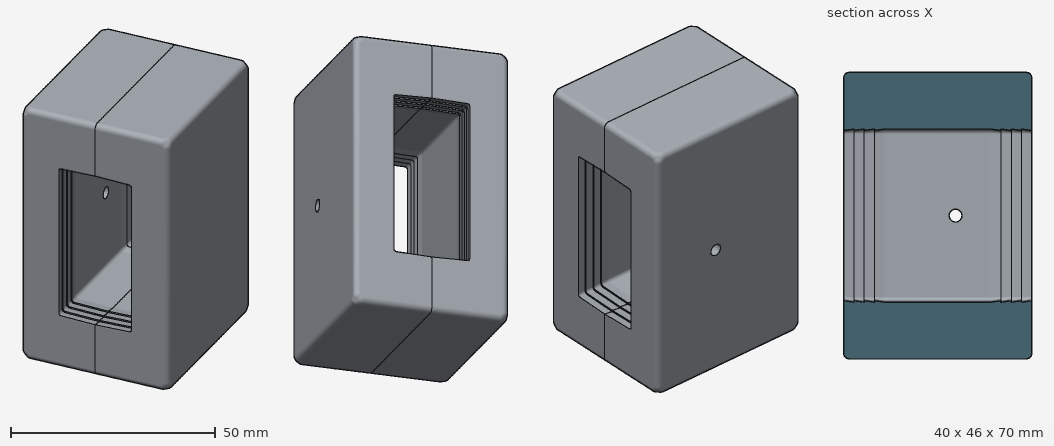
import cadquery as cq
import math

WIDTH = 40.0
DEPTH = 46.0
HEIGHT = 70.0
EDGE_RADIUS = 1.5
CORNER_CUT = 2.6

OPENING_WIDTH = 20.3
OPENING_SIDE_HEIGHT = 41.65
OPENING_CROWN = 0.3
OPENING_CORNER_RADIUS = 1.0

BARB_COUNT = 4
BARB_PITCH = 2.5
BARB_HEIGHT = 0.35
LEAD_IN = 0.1

HOLE_DIAMETER = 3.1
HOLE_Y = 4.35
HOLE_Z = 0.0


def corner_cutter(corner):
    """Slab outside the plane that cuts one corner of the block at CORNER_CUT along each edge."""
    cut_centre = cq.Vector(*(math.copysign(abs(c) - CORNER_CUT / 3, c) for c in corner))
    outwards = cq.Vector(*(math.copysign(1, c) for c in corner))
    slab_side = 3 * CORNER_CUT
    cut_plane = cq.Plane(origin=cut_centre, normal=outwards)
    return cq.Workplane(cut_plane).rect(slab_side, slab_side).extrude(CORNER_CUT)


def rounded_block():
    """Outer block with flattened corners and every edge rounded."""
    block = cq.Workplane("XY").box(WIDTH, DEPTH, HEIGHT)
    for corner in block.vertices().vals():
        block = block.cut(corner_cutter(corner.toTuple()))
    return block.edges().fillet(EDGE_RADIUS)


def opening_outline(inset):
    """Opening cross-section, moved inwards by inset; its top and bottom rise to the parting plane."""
    half_width = OPENING_WIDTH / 2 - inset
    side = OPENING_SIDE_HEIGHT / 2 - inset
    crest = side + OPENING_CROWN
    corners = [
        (half_width, side),
        (0, crest),
        (-half_width, side),
        (-half_width, -side),
        (0, -crest),
        (half_width, -side),
    ]
    outline = cq.Sketch().polygon(corners + corners[:1])
    return outline.vertices("<X or >X").fillet(OPENING_CORNER_RADIUS - inset)


def opening_stretch(y_start, y_end, inset_start, inset_end):
    """Stretch of the opening along Y whose walls run from one inset to another."""
    plane = cq.Plane(origin=(0, y_start, 0), xDir=(1, 0, 0), normal=(0, 1, 0))
    far_outline = opening_outline(inset_end).moved(cq.Location(cq.Vector(0, 0, y_end - y_start)))
    return cq.Workplane(plane).placeSketch(opening_outline(inset_start), far_outline).loft(ruled=True)


def barbed_mouth():
    """Opening at the -Y mouth: a bevel, then barbs that each widen inwards and step back."""
    face = -DEPTH / 2
    mouth = opening_stretch(face, face + LEAD_IN, 0, BARB_HEIGHT)
    tip = face + LEAD_IN
    for barb in range(BARB_COUNT):
        barb_end = face + (barb + 1) * BARB_PITCH
        mouth = mouth.union(opening_stretch(tip, barb_end, BARB_HEIGHT, 0))
        tip = barb_end
    return mouth


def opening():
    """Whole passage: plain in the middle, with the same barbs at both mouths."""
    plain_end = DEPTH / 2 - BARB_COUNT * BARB_PITCH
    mouth = barbed_mouth()
    return opening_stretch(-plain_end, plain_end, 0, 0).union(mouth).union(mouth.mirror("XZ"))


def side_hole():
    """Round cutter from the -X face to the middle of the opening."""
    face = cq.Workplane("YZ", origin=(-WIDTH / 2, HOLE_Y, HOLE_Z))
    return face.circle(HOLE_DIAMETER / 2).extrude(WIDTH / 2)


def half_space(side):
    """Box that holds the half of the block on one side of X = 0; side is -1 or 1."""
    return cq.Workplane("XY").box(WIDTH / 2, DEPTH, HEIGHT).translate((side * WIDTH / 4, 0, 0))


housing = rounded_block().cut(opening())
left_shell = housing.intersect(half_space(-1)).cut(side_hole())
right_shell = housing.intersect(half_space(1))

result = cq.Compound.makeCompound([left_shell.val(), right_shell.val()])